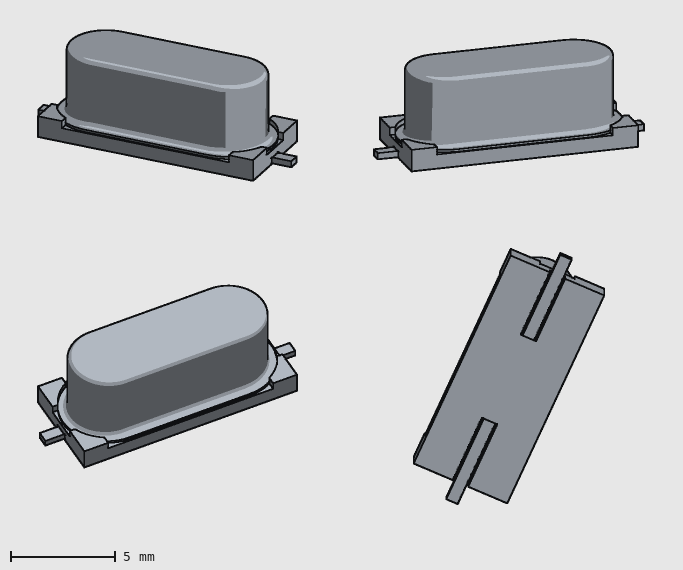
import cadquery as cq

lead_span = 13.4
base_length = 11.4
base_width = 4.9
base_height = 1.1
total_height = 4.3

can_straight = 6.5
can_radius = 1.9
can_edge_radius = 0.25
flange_radius = 2.36
flange_thickness = 0.12
flange_bottom = 0.72
flange_top = flange_bottom + flange_thickness

seat_radius = flange_radius
long_notch_length = 8.85
end_notch_width = 1.82

lead_width = 0.6
lead_thickness = 0.32
lead_slot_width = 0.8
lead_leg_spacing = 4.88
leg_inner_x = (lead_leg_spacing - lead_thickness) / 2
leg_outer_x = leg_inner_x + lead_thickness


def block(length, width, bottom, top, center_x=0.0):
    """Rectangular block centred on the X axis, between two heights."""
    return (
        cq.Workplane("XY", origin=(center_x, 0, bottom))
        .rect(length, width)
        .extrude(top - bottom)
    )


def stadium(radius, bottom, top):
    """Upright stadium whose end arcs share the centres of the can's ends."""
    return (
        cq.Workplane("XY", origin=(0, 0, bottom))
        .slot2D(can_straight + 2 * radius, 2 * radius)
        .extrude(top - bottom)
    )


def span_block(side, inner_x, outer_x, width, bottom, top):
    """Block reaching from inner_x to outer_x on one side (+1 or -1) of the part."""
    center_x = side * (inner_x + outer_x) / 2
    return block(outer_x - inner_x, width, bottom, top, center_x)


def make_base():
    """Insulating base with the flange seat, lead holes and lead slots."""
    base = block(base_length, base_width, 0, base_height)

    base = base.cut(stadium(seat_radius, flange_bottom, base_height))
    base = base.cut(block(long_notch_length, base_width, flange_bottom, base_height))
    base = base.cut(block(base_length, end_notch_width, flange_bottom, base_height))

    for side in (-1, 1):
        base = base.cut(span_block(side, leg_inner_x, leg_outer_x, lead_width, 0, flange_bottom))
        base = base.cut(
            span_block(side, leg_inner_x, base_length / 2, lead_slot_width, 0, lead_thickness)
        )
    return base


def make_crystal():
    """Metal can with its flange and its two bent leads, as one body."""
    flange = stadium(flange_radius, flange_bottom, flange_top)
    can = stadium(can_radius, flange_top, total_height)
    crystal = flange.union(can)

    crystal = crystal.faces(">Z").edges().fillet(can_edge_radius)
    wall_foot = cq.selectors.BoxSelector(
        (-lead_span, -can_radius - can_edge_radius, flange_top - flange_thickness / 2),
        (lead_span, can_radius + can_edge_radius, flange_top + flange_thickness / 2),
        boundingbox=True,
    )
    crystal = crystal.edges(wall_foot).fillet(can_edge_radius)

    for side in (-1, 1):
        leg = span_block(side, leg_inner_x, leg_outer_x, lead_width, 0, flange_bottom)
        foot = span_block(side, leg_inner_x, lead_span / 2, lead_width, 0, lead_thickness)
        crystal = crystal.union(leg.union(foot))
    return crystal


base = make_base()
crystal = make_crystal()

result = cq.Compound.makeCompound([base.val(), crystal.val()])